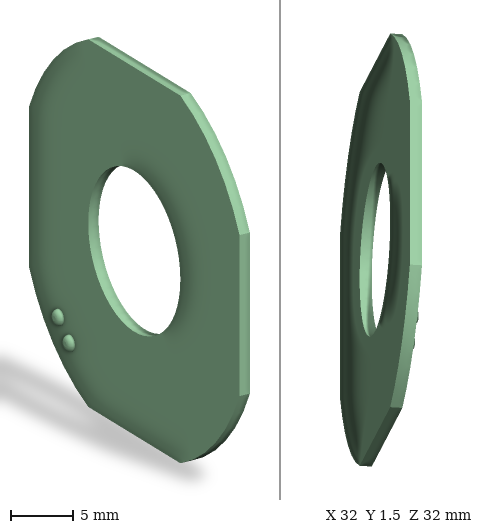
import cadquery as cq
import math

plate_width = 32.0
plate_thickness = 1.0
bore_diameter = 14.0
flat_length = bore_diameter
disc_radius = math.hypot(plate_width / 2, flat_length / 2)

pin_diameter = 1.4
pin_height = 0.5
pin_rounding = 0.48
pin_far_offset = 11.4
pin_near_offset = 9.73
pin_centers = [
    (-pin_far_offset, -pin_near_offset),
    (-pin_near_offset, -pin_far_offset),
]


def make_plate():
    """Plate with its front face on Y = 0 and its back face towards +Y."""
    front_plane = cq.Workplane("XZ")
    disc = front_plane.circle(disc_radius).extrude(-plate_thickness)
    square = front_plane.rect(plate_width, plate_width).extrude(-plate_thickness)
    bore = front_plane.circle(bore_diameter / 2).extrude(-plate_thickness)
    return disc.intersect(square).cut(bore)


def make_pin(x, z):
    """Pin rising towards -Y from the front face, with a rounded end."""
    pin = cq.Workplane("XZ").center(x, z).circle(pin_diameter / 2).extrude(pin_height)
    return pin.faces("<Y").edges().fillet(pin_rounding)


result = make_plate()
for pin_x, pin_z in pin_centers:
    result = result.union(make_pin(pin_x, pin_z))